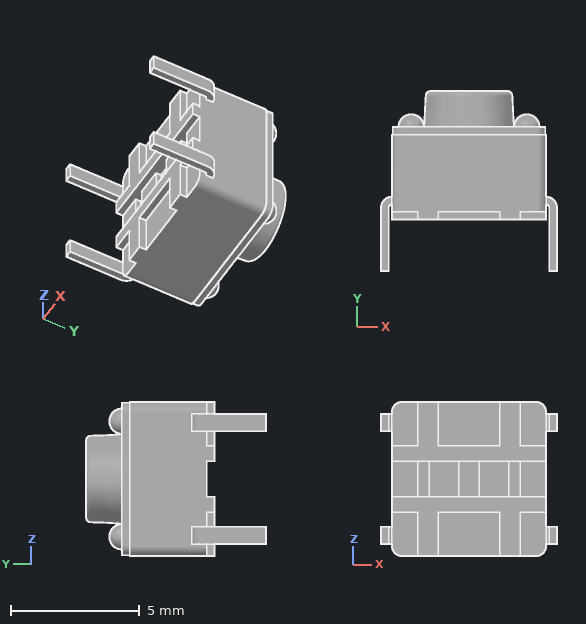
import cadquery as cq

housing_side = 6.0
corner_radius = 0.4
floor_y = 0.3
housing_top_y = 3.3
cover_top_y = 3.6
cover_inset = 0.03
half_side = housing_side / 2

rail_inner_z = 0.685
rail_outer_z = 1.3
bar_inner_x = 1.19
bar_outer_x = 1.995
pocket_depth = 0.225
side_pocket_inner_x = 1.55
centre_pocket_half_width = 0.405

button_top_y = 5.0
button_base_radius = 1.75
button_top_radius = 1.68
button_edge_radius = 0.195
dome_radius = 0.5
dome_offset = 2.25

pin_tip_y = -2.0
pin_outer_x = 3.4265
pin_thickness = 0.31
pin_width = 0.67
pin_centre_z = 2.19
pin_top_y = 0.895
pin_bend_radius = 0.45
pin_root_depth = 0.07


def box(x_min, x_max, y_min, y_max, z_min, z_max):
    size = (x_max - x_min, y_max - y_min, z_max - z_min)
    return cq.Workplane("XY").box(*size, centered=False).translate((x_min, y_min, z_min))


def rounded_slab(side, y_min, y_max):
    slab = box(-side / 2, side / 2, y_min, y_max, -side / 2, side / 2)
    return slab.edges("|Y").fillet(corner_radius)


def underside_ribs():
    """Two full-width rails with a pair of bars running outward from each."""
    ribs = cq.Workplane("XY")
    for z_min, z_max in ((rail_inner_z, rail_outer_z), (-rail_outer_z, -rail_inner_z)):
        ribs = ribs.add(box(-half_side, half_side, 0, floor_y, z_min, z_max))
    for x_min, x_max in ((bar_inner_x, bar_outer_x), (-bar_outer_x, -bar_inner_x)):
        for z_min, z_max in ((rail_outer_z, half_side), (-half_side, -rail_outer_z)):
            ribs = ribs.add(box(x_min, x_max, 0, floor_y, z_min, z_max))
    return ribs.combine()


def underside_pockets():
    """Three shallow pockets between the rails."""
    pockets = cq.Workplane("XY")
    for x_min, x_max in (
        (-bar_outer_x, -side_pocket_inner_x),
        (-centre_pocket_half_width, centre_pocket_half_width),
        (side_pocket_inner_x, bar_outer_x),
    ):
        pockets = pockets.add(
            box(x_min, x_max, floor_y, floor_y + pocket_depth, -rail_inner_z, rail_inner_z)
        )
    return pockets.combine()


def button():
    """Tapered round button with a rounded top edge."""
    profile = cq.Workplane("XY").polyline([
        (0, housing_top_y),
        (button_base_radius, housing_top_y),
        (button_base_radius, cover_top_y),
        (button_top_radius, button_top_y),
        (0, button_top_y),
    ]).close()
    return profile.revolve(360, (0, 0), (0, 1)).edges(">Y").fillet(button_edge_radius)


def pin(centre_z):
    """Right-hand terminal: a strip leaving the side wall and bending down to -Y."""
    root_x = half_side - pin_root_depth
    bend_x = pin_outer_x - pin_bend_radius
    bend_y = pin_top_y - pin_bend_radius
    inner_radius = pin_bend_radius - pin_thickness
    inner_x = pin_outer_x - pin_thickness
    foot = box(inner_x, pin_outer_x, pin_tip_y, bend_y, -pin_width / 2, pin_width / 2)
    bend = (
        cq.Workplane("XY")
        .center(bend_x, bend_y)
        .circle(pin_bend_radius)
        .circle(inner_radius)
        .extrude(pin_width / 2, both=True)
    )
    quarter = box(
        root_x, pin_outer_x, bend_y, pin_top_y, -pin_width / 2, pin_width / 2
    )
    return foot.union(bend.intersect(quarter)).translate((0, 0, centre_z))


housing = rounded_slab(housing_side, floor_y, housing_top_y)
cover = rounded_slab(housing_side - 2 * cover_inset, housing_top_y, cover_top_y)
result = housing.union(cover).union(underside_ribs()).cut(underside_pockets()).union(button())

for x in (-dome_offset, dome_offset):
    for z in (-dome_offset, dome_offset):
        dome = cq.Workplane("XY").sphere(dome_radius).translate((x, cover_top_y, z))
        result = result.union(dome)

for z in (-pin_centre_z, pin_centre_z):
    right_pin = pin(z)
    result = result.union(right_pin).union(right_pin.mirror("YZ"))